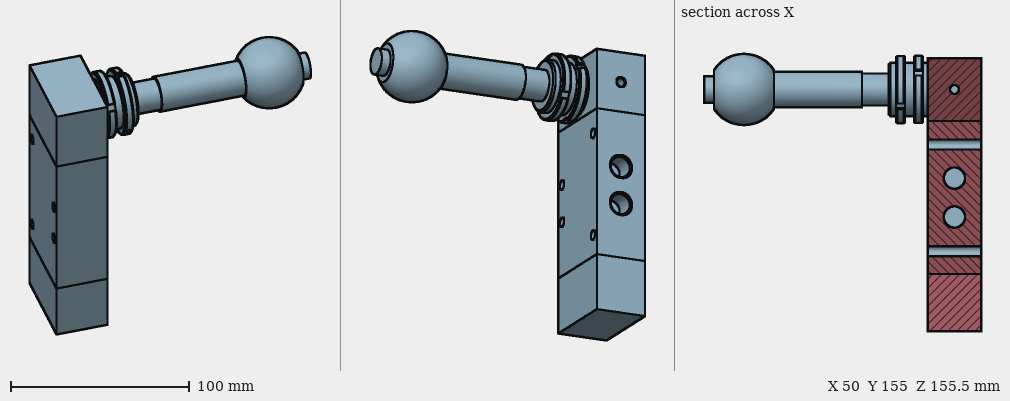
import cadquery as cq
import math

block_width = 50.0
block_depth = 30.0
base_top = 32.3
body_top = 118.0
head_top = 153.0

mount_diameter = 5.5
mount_offset = 20.0
left_mount_heights = (45.0, 104.7)

port_heights = (64.0, 85.8)
port_diameter = 11.8
port_depth = 14.0
port_chamfer = 1.0
pilot_diameter = 5.0
pilot_depth = 9.3
pilot_chamfer = 0.5

lever_height = 135.5
collar_radius = 30.0 / 2
collar_end = 51.8
collar_chamfer = 1.1
neck_radius = 18.0 / 2
neck_end = 66.9
sleeve_radius = 20.0 / 2
ball_radius = 20.0
ball_center = 132.8
ball_half_length = 16.8
stud_radius = 15.0 / 2
lever_end = 155.0

nut_radius = 19.0
nut_thickness = 5.0
nut_chamfer = 0.8
lower_nut_start = 32.7
upper_nut_start = 42.6
slot_count = 3
slot_width = 3.9
slot_depth = 1.5
slot_pitch = 360 / slot_count
lower_slot_angle = 30
upper_slot_angle = 90


def block(bottom, top):
    """Rectangular block with its front face on Y = 0."""
    blank = cq.Workplane("XY").box(block_width, block_depth, top - bottom, centered=(True, False, False))
    return blank.translate((0, 0, bottom))


def along_y(radius, start, end, x=0, z=0):
    """Round bar parallel to Y."""
    return cq.Workplane(cq.Solid.makeCylinder(radius, end - start, cq.Vector(x, start, z), cq.Vector(0, 1, 0)))


def side_hole(diameter, depth, chamfer, z):
    """Cutter for a blind, chamfered hole in the middle of the -X side."""
    mouth = cq.Vector(-block_width / 2, block_depth / 2, z)
    inward = cq.Vector(1, 0, 0)
    radius = diameter / 2
    bore = cq.Solid.makeCylinder(radius, depth, mouth, inward)
    flare = cq.Solid.makeCone(radius + chamfer, radius, chamfer, mouth, inward)
    return cq.Workplane(bore).union(cq.Workplane(flare))


def make_base():
    return block(0, base_top)


def make_body():
    body = block(base_top, body_top)
    for z in left_mount_heights:
        body = body.cut(along_y(mount_diameter / 2, 0, block_depth, -mount_offset, z))
    for z in port_heights:
        body = body.cut(along_y(mount_diameter / 2, 0, block_depth, mount_offset, z))
        body = body.cut(side_hole(port_diameter, port_depth, port_chamfer, z))
    return body


def lever_profile():
    """Revolved lever: collar, neck, sleeve, truncated ball and end stud, about Y."""
    ball_start = ball_center - ball_half_length
    ball_end = ball_center + ball_half_length
    flat_radius = math.sqrt(ball_radius**2 - ball_half_length**2)
    return (
        cq.Workplane("XY")
        .moveTo(0, block_depth)
        .lineTo(collar_radius, block_depth)
        .lineTo(collar_radius, collar_end - collar_chamfer)
        .lineTo(collar_radius - collar_chamfer, collar_end)
        .lineTo(neck_radius, collar_end)
        .lineTo(neck_radius, neck_end)
        .lineTo(sleeve_radius, neck_end)
        .lineTo(sleeve_radius, ball_start)
        .lineTo(flat_radius, ball_start)
        .threePointArc((ball_radius, ball_center), (flat_radius, ball_end))
        .lineTo(stud_radius, ball_end)
        .lineTo(stud_radius, lever_end)
        .lineTo(0, lever_end)
        .close()
        .revolve(360, (0, 0, 0), (0, 1, 0))
    )


def ring_nut(start, first_slot_angle):
    """Chamfered disc with evenly spaced rim slots; slot angles run from +X toward +Z."""
    nut = along_y(nut_radius, start, start + nut_thickness).edges().chamfer(nut_chamfer)
    slot = cq.Workplane("XY").box(2 * slot_depth, nut_thickness, slot_width)
    slot = slot.translate((nut_radius, start + nut_thickness / 2, 0))
    for index in range(slot_count):
        angle = first_slot_angle + index * slot_pitch
        nut = nut.cut(slot.rotate((0, 0, 0), (0, 1, 0), -angle))
    return nut


def make_head():
    lever = lever_profile()
    lever = lever.union(ring_nut(lower_nut_start, lower_slot_angle))
    lever = lever.union(ring_nut(upper_nut_start, upper_slot_angle))
    head = block(body_top, head_top).union(lever.translate((0, 0, lever_height)))
    return head.cut(side_hole(pilot_diameter, pilot_depth, pilot_chamfer, lever_height))


base = make_base()
body = make_body()
head = make_head()

result = cq.Compound.makeCompound([base.val(), body.val(), head.val()])